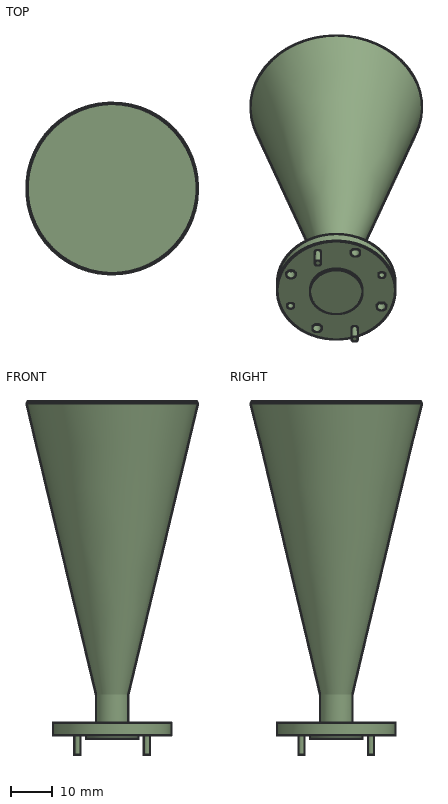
import cadquery as cq
import math

total_height = 85.15
boss_bottom = 3.8
flange_bottom = 4.6
flange_top = 7.8
neck_top = 14.5

mouth_diameter = 41.4
neck_diameter = 7.8
flange_diameter = 28.6
boss_diameter = 12.7

rim_height = 0.6
rim_inset = 0.3
flange_chamfer = 0.2

hole_circle_radius = 11.8
screw_hole_diameter = 2.3
alignment_hole_diameter = 1.7
pin_diameter = 1.5
first_pin_angle = 45


def circle_point(angle):
    """Point on the flange hole circle at an angle in degrees."""
    turn = math.radians(angle)
    return (hole_circle_radius * math.cos(turn), hole_circle_radius * math.sin(turn))


def cylinder(diameter, bottom, top):
    """Cylinder on the Z axis between two heights."""
    return cq.Workplane("XY").workplane(offset=bottom).circle(diameter / 2).extrude(top - bottom)


def make_cone():
    """Flared horn with its bevelled rim, revolved about Z."""
    mouth_radius = mouth_diameter / 2
    return (
        cq.Workplane("XZ")
        .moveTo(0, neck_top)
        .lineTo(neck_diameter / 2, neck_top)
        .lineTo(mouth_radius, total_height - rim_height)
        .lineTo(mouth_radius - rim_inset, total_height)
        .lineTo(0, total_height)
        .close()
        .revolve(360, (0, 0, 0), (0, 1, 0))
    )


def drill(body, diameter, angles):
    """Cut holes through the flange at the given angles."""
    tools = (
        cq.Workplane("XY")
        .workplane(offset=flange_bottom)
        .pushPoints([circle_point(angle) for angle in angles])
        .circle(diameter / 2)
        .extrude(flange_top - flange_bottom)
    )
    return body.cut(tools)


def make_horn(pin_angles):
    """Horn, neck, drilled flange and centring boss as one body."""
    flange = cylinder(flange_diameter, flange_bottom, flange_top).edges().chamfer(flange_chamfer)
    flange = drill(flange, screw_hole_diameter, range(0, 360, 90))
    flange = drill(flange, alignment_hole_diameter, [angle + 90 for angle in pin_angles])
    flange = drill(flange, pin_diameter, pin_angles)
    neck = cylinder(neck_diameter, flange_top, neck_top)
    boss = cylinder(boss_diameter, boss_bottom, flange_bottom)
    return flange.union(boss).union(neck).union(make_cone())


def make_pin(angle):
    """Locating pin flush with the top of the flange."""
    x, y = circle_point(angle)
    return cylinder(pin_diameter, 0, flange_top).translate((x, y, 0))


pin_angles = [first_pin_angle, first_pin_angle + 180]
horn = make_horn(pin_angles)
pins = [make_pin(angle) for angle in pin_angles]

result = cq.Compound.makeCompound([horn.val(), *[pin.val() for pin in pins]])